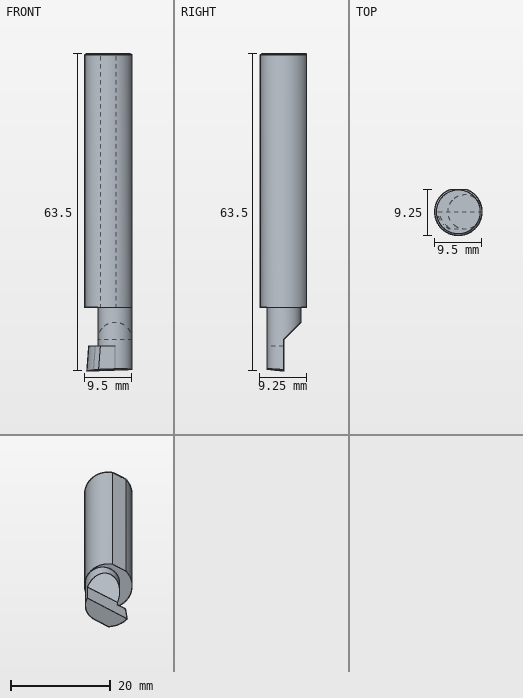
import cadquery as cq
import math

total_length = 63.5

shank_radius = 4.75
shank_bottom = 12.75
shank_flat_y = 4.5
chamfer_width = 0.4
chamfer_height = 0.25

neck_radius = 3.4
neck_x = shank_radius - neck_radius
ramp_bottom = 6.35

head_top = 5.1
tip_x = -4.3
heel_x = -3.0
heel_y = -2.55
face_x = -1.95
relief_bulge = 0.2
edge_lean = 0.4

end_angle_x = 2.0
end_angle_y = 5.0


def make_shank():
    """Cylinder with a chamfered top and a flat along the +Y side."""
    profile = (
        cq.Workplane("XZ")
        .moveTo(0, shank_bottom)
        .lineTo(shank_radius, shank_bottom)
        .lineTo(shank_radius, total_length - chamfer_height)
        .lineTo(shank_radius - chamfer_width, total_length)
        .lineTo(0, total_length)
        .close()
    )
    shank = profile.revolve(360, (0, 0, 0), (0, 1, 0))
    keep = cq.Workplane("XY").box(
        2 * shank_radius, shank_radius + shank_flat_y, total_length, centered=(True, False, False)
    )
    return shank.intersect(keep.translate((0, -shank_radius, 0)))


def make_neck():
    """Round neck, cut back to its -Y half below a 45 degree ramp."""
    neck = cq.Workplane("XY").center(neck_x, 0).circle(neck_radius).extrude(shank_bottom)
    side_outline = (
        cq.Workplane("YZ")
        .moveTo(-neck_radius, 0)
        .lineTo(0, 0)
        .lineTo(0, ramp_bottom)
        .lineTo(neck_radius, ramp_bottom + neck_radius)
        .lineTo(neck_radius, shank_bottom)
        .lineTo(-neck_radius, shank_bottom)
        .close()
        .extrude(neck_radius + shank_radius, both=True)
    )
    return neck.intersect(side_outline)


def head_outline(base, lean):
    """Head cross-section with its relief edges shifted by lean along X."""
    chord_x = heel_x - tip_x
    chord = math.hypot(chord_x, heel_y)
    bow_x = (tip_x + heel_x) / 2 + relief_bulge * heel_y / chord
    bow_y = heel_y / 2 - relief_bulge * chord_x / chord
    return (
        base.moveTo(tip_x + lean, 0)
        .threePointArc((bow_x + lean, bow_y), (heel_x + lean, heel_y))
        .lineTo(face_x + lean, -neck_radius)
        .lineTo(neck_x, -neck_radius)
        .lineTo(neck_x, 0)
        .close()
    )


def make_head():
    """Cutting head with leaning relief faces."""
    bottom = head_outline(cq.Workplane("XY"), 0)
    return head_outline(bottom.workplane(offset=head_top), edge_lean).loft(ruled=True, combine=True)


def make_end_relief():
    """Material below the sloping end plane through the tip."""
    size = 4 * shank_radius
    block = cq.Workplane("XY").box(size, size, size, centered=(True, True, False))
    return (
        block.translate((0, 0, -size))
        .rotate((0, 0, 0), (1, 0, 0), -end_angle_y)
        .rotate((0, 0, 0), (0, 1, 0), -end_angle_x)
        .translate((tip_x, 0, 0))
    )


tool_end = make_neck().union(make_head()).cut(make_end_relief())
result = make_shank().union(tool_end)